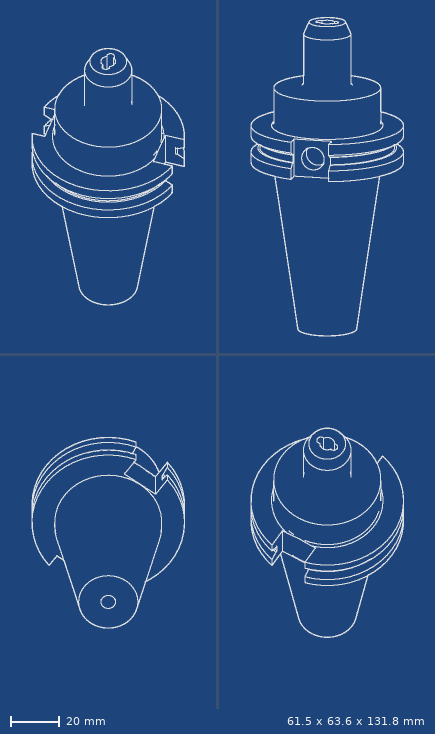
import cadquery as cq
import math

total_height = 131.8
gauge_z = 68.2
flange_bottom_z = 71.4
flange_top_z = 87.4
collar_top_z = 103.5
nose_chamfer_height = 5.1

gauge_radius = 22.3
taper_ratio = 7 / 24
small_end_radius = gauge_radius - gauge_z * taper_ratio / 2
flange_radius = 31.8
collar_radius = gauge_radius
nose_radius = 9.9
nose_tip_radius = 7.6
nose_fillet = 2.5
collar_fillet = 0.9

groove_z = (flange_bottom_z + flange_top_z) / 2
groove_floor_radius = 28.0
groove_ledge_radius = 28.9
groove_mouth_width = 6.7
groove_wall_angle = 60.0

slot_width = 16.1
left_slot_floor = 25.2
right_slot_floor = 22.4

pocket_diameter = 9.6
pocket_depth = 8.2

bore_radius = 3.0
coolant_groove_radius = 1.6
coolant_groove_offset = 3.2
coolant_groove_depth = 35.6


def concave_fillet_mid(radius, shelf_z, fillet):
    """Middle point of a fillet between an upright wall and the shelf below it."""
    reach = fillet * (1 - math.sqrt(0.5))
    return (radius + reach, shelf_z + reach)


def turned_body():
    groove_mouth_low = groove_z - groove_mouth_width / 2
    groove_mouth_high = groove_z + groove_mouth_width / 2
    wall_height = (flange_radius - groove_ledge_radius) / math.tan(math.radians(groove_wall_angle))
    groove_floor_low = groove_mouth_low + wall_height
    groove_floor_high = groove_mouth_high - wall_height
    profile = (
        cq.Workplane("XZ")
        .moveTo(0, 0)
        .lineTo(small_end_radius, 0)
        .lineTo(gauge_radius, gauge_z)
        .lineTo(gauge_radius, flange_bottom_z)
        .lineTo(flange_radius, flange_bottom_z)
        .lineTo(flange_radius, groove_mouth_low)
        .lineTo(groove_ledge_radius, groove_floor_low)
        .lineTo(groove_floor_radius, groove_floor_low)
        .lineTo(groove_floor_radius, groove_floor_high)
        .lineTo(groove_ledge_radius, groove_floor_high)
        .lineTo(flange_radius, groove_mouth_high)
        .lineTo(flange_radius, flange_top_z)
        .lineTo(collar_radius + collar_fillet, flange_top_z)
        .threePointArc(
            concave_fillet_mid(collar_radius, flange_top_z, collar_fillet),
            (collar_radius, flange_top_z + collar_fillet),
        )
        .lineTo(collar_radius, collar_top_z)
        .lineTo(nose_radius + nose_fillet, collar_top_z)
        .threePointArc(
            concave_fillet_mid(nose_radius, collar_top_z, nose_fillet),
            (nose_radius, collar_top_z + nose_fillet),
        )
        .lineTo(nose_radius, total_height - nose_chamfer_height)
        .lineTo(nose_tip_radius, total_height)
        .lineTo(0, total_height)
        .close()
    )
    return profile.revolve(360, (0, 0), (0, 1))


def drive_slot(side, floor_distance):
    """Cutter for the slot on the +X (side = 1) or -X (side = -1) side of the flange."""
    length = flange_radius
    height = flange_top_z + collar_fillet - flange_bottom_z
    return (
        cq.Workplane("XY", origin=(side * (floor_distance + length / 2), 0, flange_bottom_z))
        .rect(length, slot_width)
        .extrude(height)
    )


def slot_pocket():
    return (
        cq.Workplane("YZ", origin=(-left_slot_floor, 0, groove_z))
        .circle(pocket_diameter / 2)
        .extrude(pocket_depth)
    )


def tool_bore():
    bore = cq.Workplane("XY").circle(bore_radius).extrude(total_height)
    coolant_grooves = (
        cq.Workplane("XY", origin=(0, 0, total_height))
        .pushPoints([(0, -coolant_groove_offset), (0, coolant_groove_offset)])
        .circle(coolant_groove_radius)
        .extrude(-coolant_groove_depth)
    )
    return bore.union(coolant_grooves)


result = (
    turned_body()
    .cut(drive_slot(-1, left_slot_floor))
    .cut(drive_slot(1, right_slot_floor))
    .cut(slot_pocket())
    .cut(tool_bore())
)